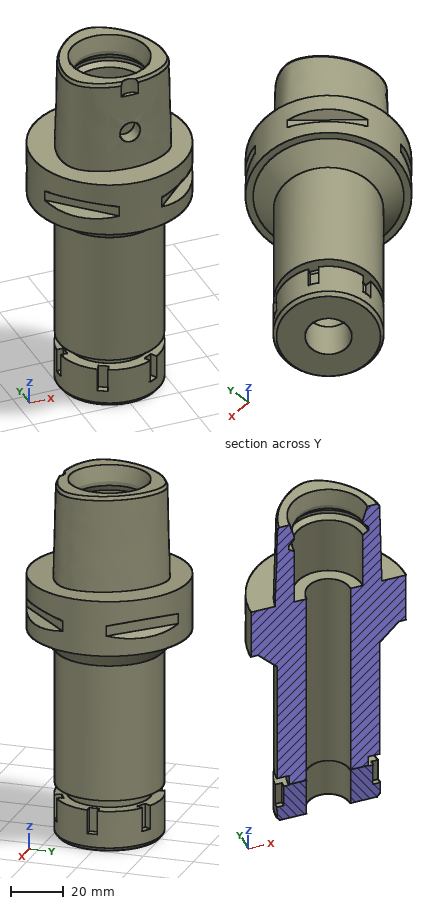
import cadquery as cq
import math

total_height = 143.0
nut_height = 16.3
neck_top = 20.6
cone_bottom = 75.1
flange_bottom = 83.0
flange_top = 105.0

flange_diameter = 63.0
flange_radius = flange_diameter / 2
cone_top_radius = 28.6
body_radius = 20.9
neck_radius = 16.2

shank_base_radius = 22.2
lobe_height = 1.5
taper_per_length = 1 / 40
lobed_curve_points = 36
shank_chamfer_height = 1.5
shank_chamfer_width = 0.7

mouth_radius = 15.7
bore_radius = 13.9
groove_radius = 16.2
mouth_depth = 6.1
groove_start_depth = 7.7
groove_wall_start_depth = 10.5
groove_wall_end_depth = 11.9
groove_end_depth = 13.5
bore_depth = total_height - flange_top
through_hole_radius = 8.9

key_radius = 4.5
key_depth = 6.1
key_floor_distance = 18.0
side_hole_radius = 4.1
side_hole_depth = 22.3
side_hole_floor_distance = 14.5

gripper_count = 4
gripper_floor_distance = 27.6
gripper_floor_width = 4.0
gripper_flare = 1.7
gripper_height = 93.1

nut_radius = 21.0
nut_chamfer_height = 1.6
nut_chamfer_width = 1.3
wrench_slot_count = 6
wrench_slot_width = 4.0
wrench_slot_length = 9.5
wrench_slot_depth = 2.9


def lobed_wire(mean_radius, height):
    """Closed three-lobed curve of constant width, with one lobe toward +Y."""
    points = []
    for i in range(lobed_curve_points):
        angle = 2 * math.pi * i / lobed_curve_points
        reach = mean_radius + lobe_height * math.cos(3 * angle)
        slope = -3 * lobe_height * math.sin(3 * angle)
        along_lobe = reach * math.cos(angle) - slope * math.sin(angle)
        across_lobe = reach * math.sin(angle) + slope * math.cos(angle)
        points.append(cq.Vector(-across_lobe, along_lobe, height))
    return cq.Wire.assembleEdges([cq.Edge.makeSpline(points, periodic=True)])


def make_shank():
    """Tapered lobed shank with a chamfered top rim."""
    chamfer_start = total_height - shank_chamfer_height
    top_radius = shank_base_radius - taper_per_length * (chamfer_start - flange_top)
    base = lobed_wire(shank_base_radius, flange_top)
    shoulder = lobed_wire(top_radius, chamfer_start)
    rim = lobed_wire(top_radius - shank_chamfer_width, total_height)
    taper = cq.Solid.makeLoft([base, shoulder], True)
    chamfer = cq.Solid.makeLoft([shoulder, rim], True)
    return cq.Workplane(taper).union(cq.Workplane(chamfer))


def revolve_profile(points):
    """Turn (radius, height) points around the Z axis."""
    return cq.Workplane("XZ").polyline(points).close().revolve(360, (0, 0, 0), (0, 1, 0))


def make_turned_body():
    return revolve_profile([
        (0, nut_height),
        (neck_radius, nut_height),
        (neck_radius, neck_top),
        (body_radius, neck_top),
        (body_radius, cone_bottom),
        (cone_top_radius, flange_bottom),
        (flange_radius, flange_bottom),
        (flange_radius, flange_top),
        (0, flange_top),
    ])


def make_bore():
    """Conical mouth, undercut groove, straight bore and the narrower through hole."""
    return revolve_profile([
        (0, total_height),
        (mouth_radius, total_height),
        (bore_radius, total_height - mouth_depth),
        (bore_radius, total_height - groove_start_depth),
        (groove_radius, total_height - groove_wall_start_depth),
        (groove_radius, total_height - groove_wall_end_depth),
        (bore_radius, total_height - groove_end_depth),
        (bore_radius, total_height - bore_depth),
        (through_hole_radius, total_height - bore_depth),
        (through_hole_radius, nut_height),
        (0, nut_height),
    ])


def make_key_notch():
    centre_y = -(key_floor_distance + key_radius)
    notch = cq.Workplane("XY", origin=(0, centre_y, total_height - key_depth))
    return notch.circle(key_radius).extrude(key_depth)


def make_side_hole():
    hole = cq.Workplane("XZ", origin=(0, -side_hole_floor_distance, total_height - side_hole_depth))
    return hole.circle(side_hole_radius).extrude(flange_radius - side_hole_floor_distance)


def make_gripper_slot(angle):
    """Straight slot with a flat floor and flared sides, cut as a chord of the flange."""
    floor_half = gripper_floor_width / 2
    outer_half = floor_half + gripper_flare
    slot = (
        cq.Workplane("XZ")
        .polyline([
            (gripper_floor_distance, gripper_height - floor_half),
            (flange_radius, gripper_height - outer_half),
            (flange_radius, gripper_height + outer_half),
            (gripper_floor_distance, gripper_height + floor_half),
        ])
        .close()
        .extrude(flange_radius, both=True)
    )
    return slot.rotate((0, 0, 0), (0, 0, 1), angle)


def make_holder():
    holder = make_turned_body().union(make_shank())
    holder = holder.cut(make_bore()).cut(make_key_notch()).cut(make_side_hole())
    spacing = 360 / gripper_count
    for i in range(gripper_count):
        holder = holder.cut(make_gripper_slot((i + 0.5) * spacing))
    return holder


def make_wrench_slot(angle):
    floor_distance = nut_radius - wrench_slot_depth
    slot = cq.Workplane("XY").box(
        wrench_slot_depth,
        wrench_slot_width,
        wrench_slot_length,
        centered=(False, True, False),
    )
    slot = slot.translate((floor_distance, 0, nut_height - wrench_slot_length))
    return slot.rotate((0, 0, 0), (0, 0, 1), angle)


def make_nut():
    nut = revolve_profile([
        (through_hole_radius, 0),
        (nut_radius - nut_chamfer_width, 0),
        (nut_radius, nut_chamfer_height),
        (nut_radius, nut_height),
        (through_hole_radius, nut_height),
    ])
    for i in range(wrench_slot_count):
        nut = nut.cut(make_wrench_slot(i * 360 / wrench_slot_count))
    return nut


holder = make_holder()
nut = make_nut()

result = cq.Compound.makeCompound([holder.val(), nut.val()])